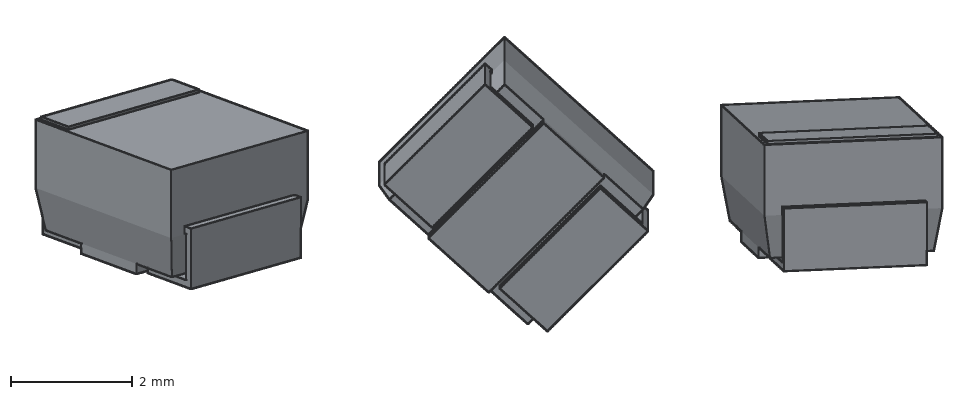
import cadquery as cq

overall_length = 3.71
overall_height = 2.16

housing_length = 3.39
housing_width = 3.0
housing_bottom = 0.178
parting_height = 0.913
taper_inset = 0.12
pad_length = 1.375

marker_thickness = 0.052
marker_length = 0.68
marker_margin = 0.065

lead_width = 2.41
lead_height = 1.057
lead_thickness = 0.125
foot_length = 1.087

housing_top = overall_height - marker_thickness
base_length = housing_length - 2 * taper_inset
base_width = housing_width - 2 * taper_inset


def make_housing():
    """Straight upper block, tapered lower block and a central pad underneath."""
    upper = (
        cq.Workplane("XY")
        .workplane(offset=parting_height)
        .rect(housing_length, housing_width)
        .extrude(housing_top - parting_height)
    )
    lower = (
        cq.Workplane("XY")
        .workplane(offset=housing_bottom)
        .rect(base_length, base_width)
        .workplane(offset=parting_height - housing_bottom)
        .rect(housing_length, housing_width)
        .loft(ruled=True)
    )
    pad = cq.Workplane("XY").rect(pad_length, base_width).extrude(housing_bottom)
    return upper.union(lower).union(pad)


def make_marker():
    """Thin bar along the -X edge of the housing top."""
    center_x = -housing_length / 2 + marker_margin + marker_length / 2
    return (
        cq.Workplane("XY")
        .workplane(offset=housing_top)
        .center(center_x, 0)
        .rect(marker_length, housing_width - 2 * marker_margin)
        .extrude(marker_thickness)
    )


def make_lead(side):
    """Bent strip: a foot, an upright and a short lip that meets the housing wall."""
    outer_x = side * overall_length / 2
    upright_x = side * (overall_length / 2 - lead_thickness)
    foot_x = side * (overall_length / 2 - foot_length)
    wall_x = side * housing_length / 2
    lip_bottom = lead_height - lead_thickness
    profile = [
        (outer_x, 0),
        (foot_x, 0),
        (foot_x, lead_thickness),
        (upright_x, lead_thickness),
        (upright_x, lip_bottom),
        (wall_x, lip_bottom),
        (wall_x, lead_height),
        (outer_x, lead_height),
    ]
    return cq.Workplane("XZ").polyline(profile).close().extrude(lead_width / 2, both=True)


housing = make_housing()
marker = make_marker()
leads = [make_lead(side) for side in (-1, 1)]

result = cq.Compound.makeCompound([housing.val(), marker.val(), *[lead.val() for lead in leads]])